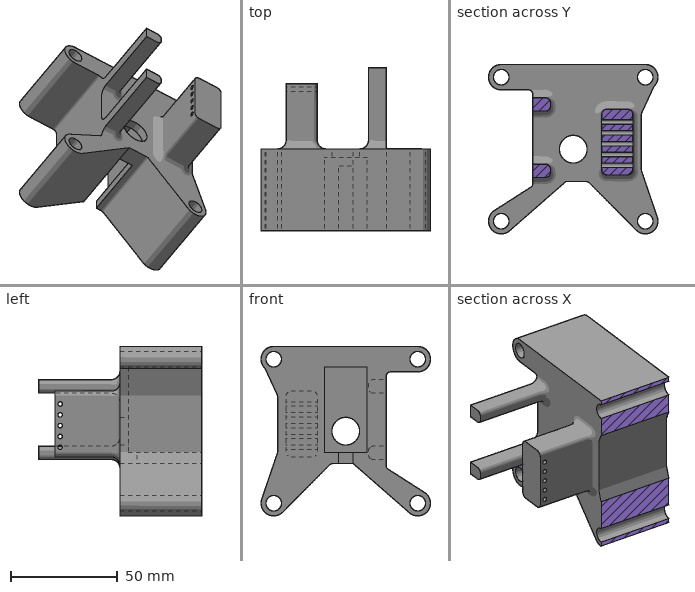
import cadquery as cq
import math

overall_width = 79.54
overall_length = 76.61
lobe_radius = 6.0
screw_offset = overall_width / 2 - lobe_radius
screw_hole_diameter = 7.2
bar_length = 38.1
body_depth = overall_length - bar_length
left_side_x = -32.0
right_side_x = 19.0
waist_bottom_z = -15.25
waist_left_x = -7.0
left_side_top_z = 16.7
left_side_bottom_z = -10.0
right_side_bottom_z = -17.2
upper_left_flank_z = 29.4
inner_corner_radius = 2.0

pocket_width = 20.0
pocket_bottom_z = -10.0
pocket_top_z = 30.0
back_wall = 4.0
pocket_depth = body_depth - back_wall
slot_width = 7.0
slot_end_wall = 8.0
slot_depth = body_depth - slot_end_wall
bore_diameter = 12.9

post_corner_radius = 2.5
post_base_radius = 4.0
footing_thickness = 2.0
block_left_x = left_side_x + post_base_radius
block_width = 14.7
block_bottom_z = -12.1
block_top_z = 18.8
block_length = 30.5
bar_width = 8.4
bar_height = 6.4
upper_bar_bottom_z = 17.8
lower_bar_bottom_z = -13.35

pin_hole_diameter = 2.0
pin_hole_count = 5
pin_hole_pitch = 5.08
lowest_pin_hole_z = -7.55
pin_hole_end_distance = 2.54


def tangent_point(point, centre, side):
    """Touch point on the lobe of a line from point; side is +1 or -1 for either of the two tangents."""
    dx = point[0] - centre[0]
    dz = point[1] - centre[1]
    angle = math.atan2(dz, dx) + side * math.acos(lobe_radius / math.hypot(dx, dz))
    return (centre[0] + lobe_radius * math.cos(angle), centre[1] + lobe_radius * math.sin(angle))


def lobe_point(centre, degrees):
    """Point on a lobe at an angle measured from +X towards +Z."""
    angle = math.radians(degrees)
    return (centre[0] + lobe_radius * math.cos(angle), centre[1] + lobe_radius * math.sin(angle))


def xz_box(left, bottom, width, height, front_y, length):
    """Box given by its lower left corner in X and Z, running towards +Y from front_y."""
    return cq.Workplane("XY").box(width, length, height, centered=False).translate((left, front_y, bottom))


def y_cylinders(centres, diameter, length):
    """Cylinders along +Y from the front face."""
    return cq.Workplane("XZ").pushPoints(centres).circle(diameter / 2).extrude(-length)


def outline_prism(depth):
    """Body outline extruded along +Y from the front face."""
    upper_left = (-screw_offset, screw_offset)
    upper_right = (screw_offset, screw_offset)
    lower_left = (-screw_offset, -screw_offset)
    lower_right = (screw_offset, -screw_offset)

    left_top = (left_side_x, left_side_top_z)
    left_bottom = (left_side_x, left_side_bottom_z)
    waist_left = (waist_left_x, waist_bottom_z)
    waist_right = (slot_width / 2, waist_bottom_z)
    right_bottom = (right_side_x, right_side_bottom_z)
    right_top = (right_side_x, screw_offset - lobe_radius)

    flank_drop = screw_offset - upper_left_flank_z
    flank_start = (-screw_offset - math.sqrt(lobe_radius**2 - flank_drop**2), upper_left_flank_z)

    outline = (
        cq.Workplane("XZ")
        .moveTo(*lobe_point(upper_left, 90))
        .threePointArc(lobe_point(upper_left, 180), flank_start)
        .lineTo(*left_top)
        .lineTo(*left_bottom)
        .lineTo(*tangent_point(left_bottom, lower_left, 1))
        .threePointArc(lobe_point(lower_left, 225), tangent_point(waist_left, lower_left, -1))
        .lineTo(*waist_left)
        .lineTo(*waist_right)
        .lineTo(*tangent_point(waist_right, lower_right, 1))
        .threePointArc(lobe_point(lower_right, -45), tangent_point(right_bottom, lower_right, -1))
        .lineTo(*right_bottom)
        .lineTo(*right_top)
        .lineTo(*lobe_point(upper_right, -90))
        .threePointArc(lobe_point(upper_right, 0), lobe_point(upper_right, 90))
        .close()
    )
    prism = outline.extrude(-depth)

    for x, z in (left_top, left_bottom, waist_left, right_bottom, right_top):
        corner = cq.selectors.NearestToPointSelector((x, depth / 2, z))
        prism = prism.edges(corner).fillet(inner_corner_radius)
    return prism


def make_posts():
    """Posts on flared bases, trimmed to the body outline.

    The bars overshoot the right side, and the trim leaves them flush with it.
    """
    plate_y = body_depth - footing_thickness
    plate_size = 2 * overall_width
    plate = xz_box(-overall_width, -overall_width, plate_size, plate_size, plate_y, footing_thickness)

    block_height = block_top_z - block_bottom_z
    block = xz_box(block_left_x, block_bottom_z, block_width, block_height, body_depth, block_length)
    posts = plate.union(block.edges("|Y").fillet(post_corner_radius))

    bar_left_x = right_side_x - bar_width
    for bottom in (lower_bar_bottom_z, upper_bar_bottom_z):
        bar = xz_box(bar_left_x, bottom, overall_width - bar_left_x, bar_height, body_depth, bar_length)
        posts = posts.union(bar.edges("|Y and <X").fillet(post_corner_radius))

    margin = 1.0
    base_edges = cq.selectors.BoxSelector(
        (-overall_width + margin, body_depth - margin, -overall_width + margin),
        (overall_width - margin, body_depth + margin, overall_width - margin),
    )
    flared = posts.edges(base_edges).fillet(post_base_radius)
    return flared.intersect(outline_prism(overall_length))


def cut_pocket(part):
    """Front pocket with a slot through its floor and a bore through its back wall."""
    pocket_height = pocket_top_z - pocket_bottom_z
    pocket = xz_box(-pocket_width / 2, pocket_bottom_z, pocket_width, pocket_height, 0, pocket_depth)
    slot_height = pocket_bottom_z - waist_bottom_z
    slot = xz_box(-slot_width / 2, waist_bottom_z, slot_width, slot_height, 0, slot_depth)
    bore = y_cylinders([(0, 0)], bore_diameter, body_depth)
    return part.cut(pocket).cut(slot).cut(bore)


def cut_screw_holes(part):
    """One through hole in the middle of each corner lobe."""
    centres = [(x, z) for x in (-screw_offset, screw_offset) for z in (-screw_offset, screw_offset)]
    return part.cut(y_cylinders(centres, screw_hole_diameter, body_depth))


def cut_pin_holes(part):
    """Row of holes across the block, along X."""
    hole_y = body_depth + block_length - pin_hole_end_distance
    centres = [(hole_y, lowest_pin_hole_z + i * pin_hole_pitch) for i in range(pin_hole_count)]
    pins = cq.Workplane("YZ", origin=(block_left_x, 0, 0)).pushPoints(centres)
    return part.cut(pins.circle(pin_hole_diameter / 2).extrude(block_width))


part = outline_prism(body_depth).union(make_posts())
part = cut_pocket(part)
part = cut_screw_holes(part)
result = cut_pin_holes(part)